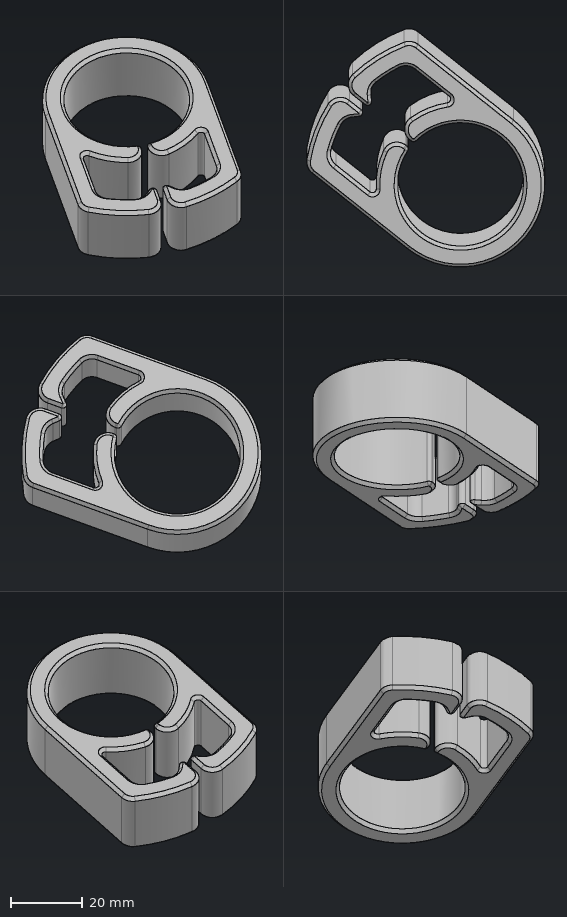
import cadquery as cq
import math

overall_length = 66.9
width = 47.25
thickness = 20.0
wall = 6.0
gap = 1.9
large_fillet = 4.0
small_fillet = 1.1
edge_chamfer = 1.0
lip_corner_x = 32.45

half_gap = gap / 2
ring_radius = width / 2
bore_radius = ring_radius - wall
fillet_centre_y = half_gap + large_fillet
tip_fillet_x = overall_length - ring_radius - large_fillet
nose_radius = math.hypot(tip_fillet_x, fillet_centre_y) + large_fillet
pocket_radius = nose_radius - wall
lip_apex_x = lip_corner_x - half_gap


def disc(radius):
    return cq.Workplane("XY").circle(radius).extrude(thickness)


def block(x_start, x_end, height):
    """Block symmetric about the X axis."""
    return (
        cq.Workplane("XY")
        .center((x_start + x_end) / 2, 0)
        .rect(x_end - x_start, height)
        .extrude(thickness)
    )


def make_blank():
    """Round back end, straight sides and an arched nose."""
    body = block(0, overall_length, width).intersect(disc(nose_radius))
    return body.union(disc(ring_radius))


def make_pocket():
    """Space between the ring and the nose, narrowed by the wedge of the two lips."""
    lips = (
        cq.Workplane("XY")
        .moveTo(lip_apex_x, 0)
        .lineTo(lip_apex_x + width, width)
        .lineTo(lip_apex_x + width, -width)
        .close()
        .extrude(thickness)
    )
    pocket = block(0, overall_length, 2 * bore_radius).intersect(disc(pocket_radius))
    return pocket.cut(disc(ring_radius)).cut(lips)


def on_circle(radius, y):
    """Point on the +X side of a circle at height y."""
    return math.sqrt(radius**2 - y**2), y


def lip_root():
    """Point where the 45 degree lip flank meets the inner face of the nose."""
    y = (math.sqrt(2 * pocket_radius**2 - lip_apex_x**2) - lip_apex_x) / 2
    return on_circle(pocket_radius, y)


def round_corners(body, corners, radius):
    """Round the upright edges at the given points and at their mirror images."""
    for x, y in corners:
        for side in (1, -1):
            corner = cq.selectors.NearestToPointSelector((x, side * y, thickness / 2))
            body = body.edges("|Z").edges(corner).fillet(radius)
    return body


large_corners = [
    on_circle(nose_radius, ring_radius),
    on_circle(nose_radius, half_gap),
    on_circle(pocket_radius, bore_radius),
    lip_root(),
    on_circle(ring_radius, half_gap),
]
small_corners = [
    on_circle(ring_radius, bore_radius),
    on_circle(bore_radius, half_gap),
    (lip_corner_x, half_gap),
]

result = make_blank().cut(disc(bore_radius)).cut(make_pocket())
result = result.cut(block(0, overall_length, gap))
result = round_corners(result, large_corners, large_fillet)
result = round_corners(result, small_corners, small_fillet)
result = result.faces("|Z").edges().chamfer(edge_chamfer)